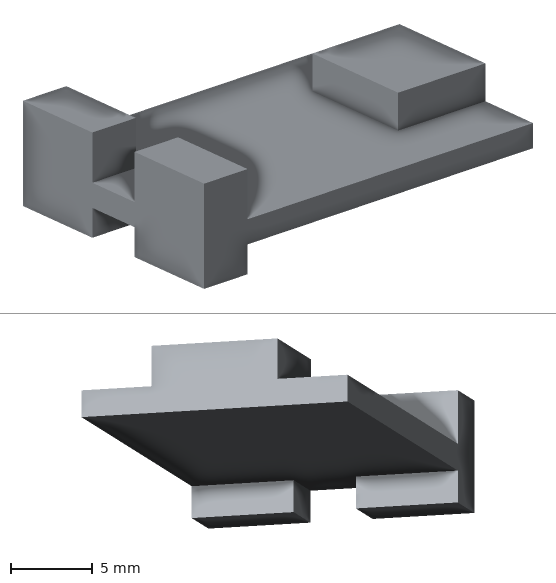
import cadquery as cq

width = 17.0
length = 26.5
plate_thickness = 1.67
plate_bottom = 2.0

block_width = 6.52
block_depth = 3.5
block_height = 7.0

pad_width = 8.05
pad_depth = 7.02
pad_height = 2.52
pad_center_x = 0.0

front_y = -length / 2
back_y = length / 2
plate_top = plate_bottom + plate_thickness


def box(size, center_x, center_y, bottom_z):
    """Box centred on (center_x, center_y), standing on bottom_z."""
    return (
        cq.Workplane("XY")
        .box(*size, centered=(True, True, False))
        .translate((center_x, center_y, bottom_z))
    )


result = box((width, length, plate_thickness), 0, 0, plate_bottom)

pad_size = (pad_width, pad_depth, pad_height)
result = result.union(box(pad_size, pad_center_x, back_y - pad_depth / 2, plate_top))

block_size = (block_width, block_depth, block_height)
for side in (-1, 1):
    block_x = side * (width - block_width) / 2
    result = result.union(box(block_size, block_x, front_y + block_depth / 2, 0))